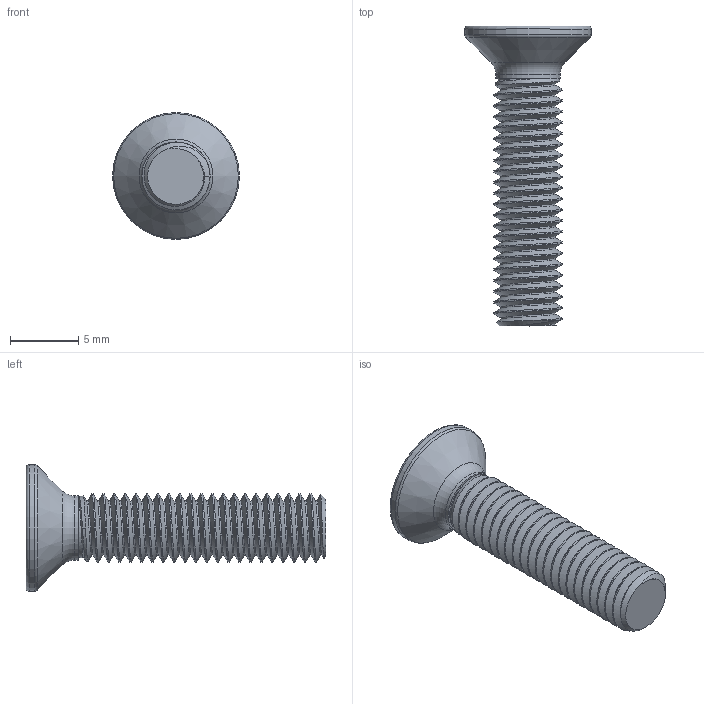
import cadquery as cq
import math

length = 22.0

head_radius = 4.65
rim_top_round = 0.22
rim_bottom_round = 0.27
rim_bottom_depth = 0.63
cone_angle = math.radians(45)
neck_radius = 2.35
neck_fillet = 1.24
neck_end_depth = 3.83

thread_radius = 2.5
pitch = 0.8
thread_depth = 0.6134 * pitch
crest_flat = pitch / 8
flank_angle = math.radians(30)
tip_chamfer = 0.42
taper_length = 0.82
taper_end_radius = 2.27
collar_length = 0.3
collar_radius = 2.18
first_groove_height = 0.13
groove_overcut = 0.05
run_out_turns = 2
thread_length = length - neck_end_depth


def point_on_round(center, radius, angle):
    """Point of a circle in the radius-height half plane."""
    return (center[0] + radius * math.cos(angle), center[1] + radius * math.sin(angle))


def head_and_neck():
    """Solid of revolution about Z, with the head top at Z = length."""
    top = length
    rim_top_center = (head_radius - rim_top_round, top - rim_top_round)
    rim_bottom_center = (head_radius - rim_bottom_round, top - rim_bottom_depth)
    cone_start = point_on_round(rim_bottom_center, rim_bottom_round, -cone_angle)

    fillet_center_radius = neck_radius + neck_fillet
    cone_end_radius = fillet_center_radius - neck_fillet * math.cos(cone_angle)
    cone_end_height = cone_start[1] - (cone_start[0] - cone_end_radius) / math.tan(cone_angle)
    fillet_center = (fillet_center_radius, cone_end_height - neck_fillet * math.sin(cone_angle))

    profile = (
        cq.Workplane("XZ")
        .moveTo(0, top)
        .lineTo(rim_top_center[0], top)
        .threePointArc(
            point_on_round(rim_top_center, rim_top_round, math.radians(45)),
            (head_radius, rim_top_center[1]),
        )
        .lineTo(head_radius, rim_bottom_center[1])
        .threePointArc(point_on_round(rim_bottom_center, rim_bottom_round, -cone_angle / 2), cone_start)
        .lineTo(cone_end_radius, cone_end_height)
        .threePointArc(
            point_on_round(fillet_center, neck_fillet, math.pi - cone_angle / 2),
            (neck_radius, fillet_center[1]),
        )
        .lineTo(neck_radius, thread_length)
        .lineTo(0, thread_length)
        .close()
    )
    return profile.revolve(360, (0, 0, 0), (0, 1, 0))


def helical_turn(section, height):
    """Faces swept by one turn of a closed radius-height section."""
    edges = [
        cq.Wire.makeHelix(pitch, pitch, radius).translate(cq.Vector(0, 0, height + offset)).Edges()[0]
        for radius, offset in section
    ]
    return [cq.Face.makeRuledSurface(edges[i - 1], edges[i]) for i in range(len(edges))]


def groove_end(section, height):
    """Flat face closing the groove on the +X side."""
    corners = [cq.Vector(radius, 0, height + offset) for radius, offset in section]
    return cq.Face.makeFromWires(cq.Wire.makePolygon(corners, close=True))


def thread_groove():
    """Right-handed V groove with a flat root, running out past both ends of the thread."""
    root_radius = thread_radius - thread_depth
    outer_radius = thread_radius + groove_overcut
    half_mouth = (pitch - crest_flat) / 2
    half_root = half_mouth - thread_depth * math.tan(flank_angle)
    half_outer = half_mouth + groove_overcut * math.tan(flank_angle)
    section = [
        (root_radius, -half_root),
        (outer_radius, -half_outer),
        (outer_radius, half_outer),
        (root_radius, half_root),
    ]

    start = first_groove_height - run_out_turns * pitch
    turns = math.ceil(thread_length / pitch) + 2 * run_out_turns
    faces = [groove_end(section, start), groove_end(section, start + turns * pitch)]
    for turn in range(turns):
        faces += helical_turn(section, start + turn * pitch)
    return cq.Workplane(cq.Solid.makeSolid(cq.Shell.makeShell(faces)))


def thread_blank():
    """Rod with its tip at Z = 0, chamfered at the tip and tapered towards the neck."""
    profile = cq.Workplane("XZ").polyline([
        (0, 0),
        (thread_radius - tip_chamfer, 0),
        (thread_radius, tip_chamfer),
        (thread_radius, thread_length - taper_length),
        (taper_end_radius, thread_length),
        (0, thread_length),
    ]).close()
    blank = profile.revolve(360, (0, 0, 0), (0, 1, 0))
    return blank.rotate((0, 0, 0), (0, 0, 1), 180)


def threaded_shank():
    """Blank cut by the groove, with a collar that makes the groove shallow next to the neck."""
    collar = (
        cq.Workplane("XY", origin=(0, 0, thread_length - collar_length))
        .circle(collar_radius)
        .extrude(collar_length)
    )
    return thread_blank().cut(thread_groove()).union(collar)


screw = head_and_neck().union(threaded_shank())
result = screw.rotate((0, 0, 0), (1, 0, 0), -90).translate((0, -length, 0))